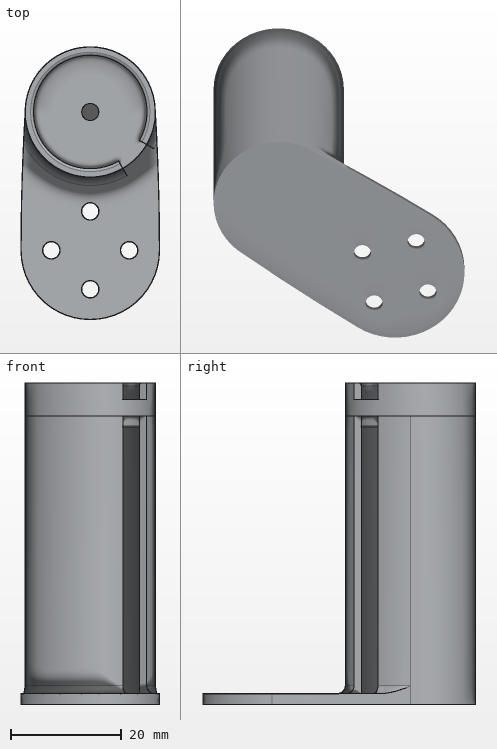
import cadquery as cq
import math

total_height = 58.0
tube_diameter = 23.5
bore_diameter = 20.5
foot_width = 25.0
total_depth = 49.2

plate_thickness = 2.0
fillet_radius = 1.5
hole_diameter = 3.1
hole_offset = 7.0

cap_height = 6.0
recess_depth = 3.0
plug_diameter = 20.25
plug_length = 2.0
rim_radius = 0.5
plug_edge_radius = 0.25

opening_direction = -45.0
opening_angle = 30.0

tube_radius = tube_diameter / 2
foot_radius = foot_width / 2
foot_y = -(total_depth - tube_radius - foot_radius)
tube_top = total_height - cap_height
cap_floor = total_height - recess_depth


def cylinder(diameter, bottom, top):
    """Vertical cylinder on the tube axis."""
    return cq.Workplane("XY").workplane(offset=bottom).circle(diameter / 2).extrude(top - bottom)


def wall_opening(bottom, top):
    """Wedge with radial sides, from the tube axis to beyond the wall and its root fillet."""
    reach = 2 * tube_radius

    def point(angle):
        radians = math.radians(angle)
        return (reach * math.cos(radians), reach * math.sin(radians))

    start = point(opening_direction - opening_angle / 2)
    middle = point(opening_direction)
    end = point(opening_direction + opening_angle / 2)
    return (
        cq.Workplane("XY").workplane(offset=bottom)
        .lineTo(*start).threePointArc(middle, end).close()
        .extrude(top - bottom)
    )


def side_point(side):
    """Midway point of a plate side, an arc from the tube that runs tangent into the foot circle."""
    length = -foot_y
    rise = foot_radius - tube_radius
    arc_radius = (length**2 + rise**2) / (2 * rise)
    drop = arc_radius - math.sqrt(arc_radius**2 - (length / 2) ** 2)
    return (side * (foot_radius - drop), foot_y / 2)


def plate_prism(height):
    """Base outline from the tube axis outward: bowed sides and a half circle at the foot."""
    return (
        cq.Workplane("XY")
        .moveTo(-tube_radius, 0)
        .threePointArc(side_point(-1), (-foot_radius, foot_y))
        .threePointArc((0, foot_y - foot_radius), (foot_radius, foot_y))
        .threePointArc(side_point(1), (tube_radius, 0))
        .close()
        .extrude(height)
    )


def root_fillet():
    """Concave half ring around the foot-side of the tube, trimmed to the plate outline."""
    fillet_top = plate_thickness + fillet_radius
    outer_radius = tube_radius + fillet_radius
    inner_radius = bore_diameter / 2
    arc_offset = fillet_radius * (1 - math.sqrt(0.5))
    ring = (
        cq.Workplane("XZ")
        .moveTo(inner_radius, plate_thickness)
        .lineTo(outer_radius, plate_thickness)
        .threePointArc((tube_radius + arc_offset, plate_thickness + arc_offset), (tube_radius, fillet_top))
        .lineTo(inner_radius, fillet_top)
        .close()
        .revolve(180, (0, 0, 0), (0, 1, 0))
        .rotate((0, 0, 0), (0, 0, 1), 180)
    )
    return ring.intersect(plate_prism(fillet_top)).cut(wall_opening(plate_thickness, fillet_top))


def make_housing():
    """Slotted tube standing on a plate with four screw holes."""
    tube = cylinder(tube_diameter, 0, tube_top).cut(cylinder(bore_diameter, plate_thickness, tube_top))
    tube = tube.cut(wall_opening(plate_thickness, tube_top))
    screw_holes = (
        cq.Workplane("XY").center(0, foot_y)
        .polarArray(hole_offset, 0, 360, 4)
        .circle(hole_diameter / 2).extrude(plate_thickness)
    )
    body = tube.union(plate_prism(plate_thickness)).cut(screw_holes)
    return body.union(root_fillet())


def make_cap():
    """Cap with a rounded plug below, an open rounded recess above and a hole on its axis."""
    plug = cylinder(plug_diameter, tube_top - plug_length, tube_top).faces("<Z").fillet(plug_edge_radius)
    recess = cylinder(bore_diameter, cap_floor, total_height)
    body = cylinder(tube_diameter, tube_top, total_height).union(plug)
    body = body.cut(recess)
    body = body.faces(">Z").edges(cq.selectors.RadiusNthSelector(0)).fillet(rim_radius)
    body = body.cut(wall_opening(cap_floor, total_height))
    return body.cut(cylinder(hole_diameter, tube_top - plug_length, cap_floor))


housing = make_housing()
cap = make_cap()
result = cq.Compound.makeCompound([*housing.solids().vals(), *cap.solids().vals()])